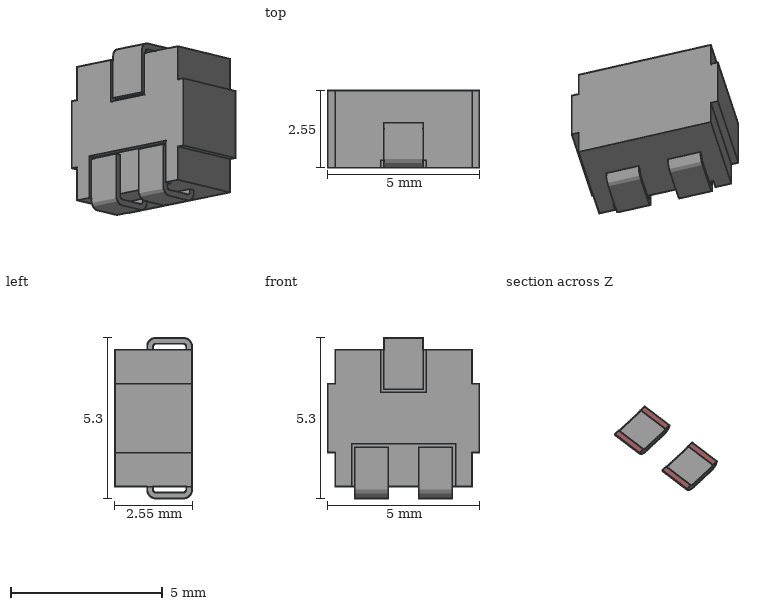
import cadquery as cq

body_width = 4.515
body_depth = 2.55
body_height = 4.515
band_width = 5.0
band_height = 2.27

overall_height = 5.3
strip_thickness = 0.2
bend_radius = 0.295
inner_bend_radius = bend_radius - strip_thickness
terminal_depth = 1.49
leg_length = 1.305
top_terminal_width = 1.29
bottom_terminal_width = 1.11
bottom_terminal_span = 3.215
bottom_terminal_offset = (bottom_terminal_span - bottom_terminal_width) / 2

pocket_clearance = 0.105
pocket_depth = 0.255

half_height = body_height / 2
front = -body_depth / 2
return_leg_embed = 0.055


def make_body():
    core = cq.Workplane("XY").box(body_width, body_depth, body_height)
    band = cq.Workplane("XY").box(band_width, body_depth, band_height)
    return core.union(band)


def make_pocket(terminal_span):
    """Front recess open at the top edge of the body."""
    width = terminal_span + 2 * pocket_clearance
    height = leg_length + pocket_clearance
    return (
        cq.Workplane("XY")
        .box(width, pocket_depth, height, centered=(True, False, False))
        .translate((0, front, half_height - height))
    )


def make_terminal(width, x_center):
    """C-shaped strip over the top edge of the body."""
    crown = overall_height / 2
    leg_end = half_height - leg_length
    return_end = half_height - return_leg_embed
    back = front + terminal_depth
    inner_front = front + strip_thickness
    inner_back = back - strip_thickness
    inner_crown = crown - strip_thickness

    outer = (
        cq.Workplane("YZ")
        .moveTo(front, leg_end)
        .lineTo(front, crown - bend_radius)
        .radiusArc((front + bend_radius, crown), bend_radius)
        .lineTo(back - bend_radius, crown)
        .radiusArc((back, crown - bend_radius), bend_radius)
        .lineTo(back, return_end)
    )
    profile = (
        outer.lineTo(inner_back, return_end)
        .lineTo(inner_back, inner_crown - inner_bend_radius)
        .radiusArc((inner_back - inner_bend_radius, inner_crown), -inner_bend_radius)
        .lineTo(inner_front + inner_bend_radius, inner_crown)
        .radiusArc((inner_front, inner_crown - inner_bend_radius), -inner_bend_radius)
        .lineTo(inner_front, leg_end)
        .close()
    )
    return profile.extrude(width / 2, both=True).translate((x_center, 0, 0))


def to_bottom(shape):
    """Mirror a top-edge feature to the bottom edge."""
    return shape.mirror("XY")


result = make_body()
result = result.cut(make_pocket(top_terminal_width))
result = result.cut(to_bottom(make_pocket(bottom_terminal_span)))

result = result.union(make_terminal(top_terminal_width, 0))
for side in (-1, 1):
    terminal = make_terminal(bottom_terminal_width, side * bottom_terminal_offset)
    result = result.union(to_bottom(terminal))